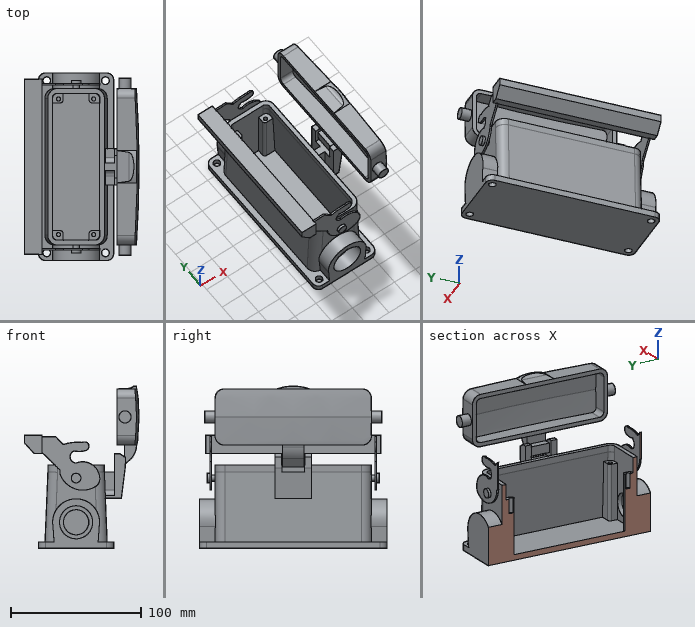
import cadquery as cq
import math

BASE_WIDTH = 57.8
LENGTH = 144.0
BASE_THICKNESS = 5.0
BASE_CORNER = 5.5
MOUNT_HOLE = 5.7
MOUNT_PITCH_X = 45.0
MOUNT_PITCH_Y = 132.0

HOOD_LENGTH = 120.0
HOOD_BOTTOM_WIDTH = 47.8
HOOD_TOP_WIDTH = 43.4
HOOD_CORNER = 7.5
HOOD_TOP = 64.1
RIM_START = 58.7
WALL = 3.7
FLOOR_TOP = 5.0

POST_TOP = 51.5
POST_INNER_X = 10.0
POST_INNER_Y = 49.0
POST_CORNER = 2.2
POST_HOLE = 3.1
POST_HOLE_DEPTH = 12.0
POST_HOLE_X = 13.5
POST_HOLE_Y = 52.0

ENTRY_RADIUS = 18.0
ENTRY_HEIGHT = 20.1
ENTRY_FOOT_HALF = 16.9
ENTRY_FLANK_DROP = 3.2
ENTRY_BORE = 25.4
ENTRY_INNER_BORE = 19.3
ENTRY_BORE_DEPTH = 12.0

PIVOT_HEIGHT = 54.0
PIVOT_PIN = 5.0
PIVOT_HEAD = 7.4
PIVOT_HEAD_END = 66.1
LEVER_INNER_Y = 62.6
LEVER_THICKNESS = 1.4
BAR_LENGTH = 134.2
BAR_LEFT = -39.65
BAR_RIGHT = -26.0
BAR_TOP = 86.9
BAR_NOSE_BOTTOM = 80.9
BAR_BOTTOM = 72.7
BAR_BOTTOM_LEFT = -32.1

ARM_TOP = 85.8
ARM_TOP_END = -15.7
ARM_BOTTOM = 73.4
ARM_STEP_HEIGHT = 60.3
FINGER_ROOT = (-9.8, 79.8)
FINGER_BACK = (-2.5, 81.4)
FINGER_TOP = (4.8, 81.4)
FINGER_TIP = (9.9, 77.9)
FINGER_UNDERSIDE = (7.2, 75.0)
FINGER_BELLY = (3.0, 74.3)
SLOT_TOP = (-1.6, 74.7)
SLOT_END = (-4.5, 70.0)
SLOT_BOTTOM = (0.0, 65.6)
CAM_CREST = (11.2, 65.0)
CAM_NOSE = (18.0, 55.0)
CAM_CHIN = (17.6, 50.6)
CAM_UNDERSIDE = (14.4, 47.2)
CAM_BELLY = (0.2, 45.4)
CAM_HEEL = (-12.5, 57.8)

BRACKET_HALF = 14.0
BRACKET_FACE = 29.4
BRACKET_BOTTOM = 38.5
BRACKET_TOP = 72.8
BRACKET_BACK = 37.7
BRACKET_BACK_BOTTOM = 34.8
BRACKET_BEND = 61.6
BRACKET_TOP_BACK = 33.5
BRACKET_SHOULDER = 70.0
FOOT_TOP = 40.8
RIB_HALF = 3.0
RIB_FILLET = 4.0
SLOT_HALF = 8.8

LID_FRONT = 31.2
LID_BACK = 48.32
LID_BOTTOM = 79.3
LID_TOP = 122.4
LID_CORNER = 7.2
LID_WALL = 3.4
LID_SKIN = 3.0
DOME_SAG_Y = 2.0
DOME_SAG_Z = 1.5
LID_PIN = 9.3
LID_PIN_X = 37.5
LID_PIN_END = 68.0

GRIP_HALF = 12.4
GRIP_TOP = 124.56
GRIP_BACK = 46.5
GRIP_RAMP_START = 40.5
GRIP_RAMP_END = 44.3
GRIP_RAMP_MIDDLE = (42.8, 123.5)
GRIP_PAD_RISE = 0.45

TAB_HALF = 8.3
TAB_FACE = 37.0
TAB_TIP = 31.2
TAB_BAR_TOP = 70.3
TAB_BAR_BOTTOM = 62.5
TAB_BACK = 46.4
TAB_BEND = (42.4, 69.0)
TAB_BELLY = (44.8, 72.5)
TAB_ROUND_TOP = 78.0
TAB_HEEL = 35.2

HOOD_HALF = HOOD_LENGTH / 2
LID_MIDDLE = (LID_BOTTOM + LID_TOP) / 2
LID_HEIGHT = LID_TOP - LID_BOTTOM


def extrude_along_y(outline, start, end):
    """Extrude an outline of the XZ plane from one Y to a larger one."""
    return outline.extrude(start - end).translate((0, start, 0))


def drafted_block(inset, bottom):
    """Rounded hood block, drafted in X up to the rim, drawn in all round by the inset."""
    half_length = HOOD_HALF - inset
    half_top = HOOD_TOP_WIDTH / 2 - inset
    half_bottom = HOOD_BOTTOM_WIDTH / 2 - inset
    outline = (
        cq.Workplane("XZ")
        .moveTo(-half_bottom, bottom)
        .lineTo(-half_top, RIM_START)
        .lineTo(-half_top, HOOD_TOP)
        .lineTo(half_top, HOOD_TOP)
        .lineTo(half_top, RIM_START)
        .lineTo(half_bottom, bottom)
        .close()
    )
    block = extrude_along_y(outline, -half_length, half_length)
    return block.edges("not(|Y or |X)").fillet(HOOD_CORNER - inset)


def make_base_plate():
    return (
        cq.Workplane("XY")
        .rect(BASE_WIDTH, LENGTH)
        .extrude(BASE_THICKNESS)
        .edges("|Z")
        .fillet(BASE_CORNER)
        .faces(">Z")
        .workplane()
        .rect(MOUNT_PITCH_X, MOUNT_PITCH_Y, forConstruction=True)
        .vertices()
        .hole(MOUNT_HOLE)
    )


def make_entry_bosses():
    """Round cable entries on both ends, narrowing to a foot on the base plate."""
    flank_z = ENTRY_HEIGHT - ENTRY_FLANK_DROP
    flank_x = math.sqrt(ENTRY_RADIUS**2 - ENTRY_FLANK_DROP**2)
    outline = (
        cq.Workplane("XZ")
        .moveTo(-ENTRY_FOOT_HALF, 0)
        .lineTo(-ENTRY_FOOT_HALF, BASE_THICKNESS)
        .lineTo(-flank_x, flank_z)
        .threePointArc((0, ENTRY_HEIGHT + ENTRY_RADIUS), (flank_x, flank_z))
        .lineTo(ENTRY_FOOT_HALF, BASE_THICKNESS)
        .lineTo(ENTRY_FOOT_HALF, 0)
        .close()
    )
    return extrude_along_y(outline, -LENGTH / 2, LENGTH / 2)


def make_entry_bore():
    """Stepped bore of the open cable entry on the -Y end."""
    bore = cq.Workplane("XZ").center(0, ENTRY_HEIGHT).circle(ENTRY_BORE / 2)
    inner = cq.Workplane("XZ").center(0, ENTRY_HEIGHT).circle(ENTRY_INNER_BORE / 2)
    shoulder = -LENGTH / 2 + ENTRY_BORE_DEPTH
    wide = extrude_along_y(bore, -LENGTH / 2, shoulder)
    narrow = extrude_along_y(inner, shoulder, -HOOD_HALF + 2 * WALL)
    return wide.union(narrow)


def make_posts(cavity):
    """Screw posts filling the four cavity corners."""
    size_x = HOOD_BOTTOM_WIDTH / 2 - POST_INNER_X
    size_y = HOOD_HALF - POST_INNER_Y
    posts = cq.Workplane("XY")
    for side_x in (-1, 1):
        for side_y in (-1, 1):
            post = (
                cq.Workplane("XY", origin=(0, 0, FLOOR_TOP))
                .center(side_x * (POST_INNER_X + size_x / 2), side_y * (POST_INNER_Y + size_y / 2))
                .rect(size_x, size_y)
                .extrude(POST_TOP - FLOOR_TOP)
                .edges("|Z")
                .fillet(POST_CORNER)
            )
            hole = (
                cq.Workplane("XY", origin=(0, 0, POST_TOP - POST_HOLE_DEPTH))
                .center(side_x * POST_HOLE_X, side_y * POST_HOLE_Y)
                .circle(POST_HOLE / 2)
                .extrude(POST_HOLE_DEPTH)
            )
            posts = posts.add(post.intersect(cavity).cut(hole))
    return posts.vals()


def make_bracket():
    """Hinge bracket: slotted upright on a foot, stiffened by a filleted middle rib."""
    root = HOOD_TOP_WIDTH / 2 - WALL / 2
    upright = (
        cq.Workplane("XZ")
        .moveTo(BRACKET_FACE, BRACKET_BOTTOM)
        .lineTo(BRACKET_FACE, BRACKET_TOP)
        .lineTo(BRACKET_TOP_BACK, BRACKET_TOP)
        .lineTo(BRACKET_BACK, BRACKET_SHOULDER)
        .lineTo(BRACKET_BACK, BRACKET_BEND)
        .lineTo(BRACKET_BACK_BOTTOM, BRACKET_BOTTOM)
        .close()
    )
    bracket = extrude_along_y(upright, -BRACKET_HALF, BRACKET_HALF)
    slot = (
        cq.Workplane("XY", origin=(0, 0, RIM_START))
        .center(BRACKET_FACE, 0)
        .rect(BRACKET_HALF * 2, SLOT_HALF * 2)
        .extrude(BRACKET_TOP - RIM_START)
    )
    rib_foot = RIB_HALF + RIB_FILLET
    dip = RIB_FILLET * (1 - math.sqrt(0.5))
    foot_and_rib = (
        cq.Workplane("YZ", origin=(root, 0, 0))
        .moveTo(-BRACKET_HALF, BRACKET_BOTTOM)
        .lineTo(BRACKET_HALF, BRACKET_BOTTOM)
        .lineTo(BRACKET_HALF, FOOT_TOP)
        .lineTo(rib_foot, FOOT_TOP)
        .threePointArc((RIB_HALF + dip, FOOT_TOP + dip), (RIB_HALF, FOOT_TOP + RIB_FILLET))
        .lineTo(RIB_HALF, RIM_START)
        .lineTo(-RIB_HALF, RIM_START)
        .lineTo(-RIB_HALF, FOOT_TOP + RIB_FILLET)
        .threePointArc((-RIB_HALF - dip, FOOT_TOP + dip), (-rib_foot, FOOT_TOP))
        .lineTo(-BRACKET_HALF, FOOT_TOP)
        .close()
        .extrude(BRACKET_FACE - root)
    )
    return bracket.cut(slot).union(foot_and_rib)


def lever_plate_outline():
    """Lever cheek: arm to the bar, hook finger, locking slot and round cam end."""
    return (
        cq.Workplane("XZ")
        .moveTo(BAR_RIGHT, ARM_TOP)
        .lineTo(ARM_TOP_END, ARM_TOP)
        .lineTo(*FINGER_ROOT)
        .threePointArc(FINGER_BACK, FINGER_TOP)
        .threePointArc(FINGER_TIP, FINGER_UNDERSIDE)
        .threePointArc(FINGER_BELLY, SLOT_TOP)
        .threePointArc(SLOT_END, SLOT_BOTTOM)
        .threePointArc(CAM_CREST, CAM_NOSE)
        .threePointArc(CAM_CHIN, CAM_UNDERSIDE)
        .threePointArc(CAM_BELLY, CAM_HEEL)
        .lineTo(CAM_HEEL[0], ARM_STEP_HEIGHT)
        .lineTo(BAR_RIGHT, ARM_BOTTOM)
        .close()
    )


def make_lever_cheek(side):
    """One lever cheek with its headed pivot pin, on the -Y or +Y side."""
    plate = extrude_along_y(lever_plate_outline(), LEVER_INNER_Y, LEVER_INNER_Y + LEVER_THICKNESS)
    pivot = cq.Workplane("XZ").center(0, PIVOT_HEIGHT)
    pin = extrude_along_y(pivot.circle(PIVOT_PIN / 2), HOOD_HALF - WALL / 2, LEVER_INNER_Y)
    head = extrude_along_y(pivot.circle(PIVOT_HEAD / 2), LEVER_INNER_Y, PIVOT_HEAD_END)
    cheek = plate.union(pin).union(head)
    return cheek if side > 0 else cheek.mirror("XZ")


def make_lever_bar():
    outline = (
        cq.Workplane("XZ")
        .moveTo(BAR_LEFT, BAR_TOP)
        .lineTo(BAR_RIGHT, BAR_TOP)
        .lineTo(BAR_RIGHT, BAR_BOTTOM)
        .lineTo(BAR_BOTTOM_LEFT, BAR_BOTTOM)
        .lineTo(BAR_LEFT, BAR_NOSE_BOTTOM)
        .close()
    )
    return extrude_along_y(outline, -BAR_LENGTH / 2, BAR_LENGTH / 2)


def make_housing():
    cavity = drafted_block(WALL, FLOOR_TOP)
    housing = make_base_plate().union(drafted_block(0, BASE_THICKNESS))
    housing = housing.union(make_entry_bosses()).union(make_bracket())
    housing = housing.cut(cavity).cut(make_entry_bore())
    for post in make_posts(cavity):
        housing = housing.union(cq.Workplane(post))
    for side in (-1, 1):
        housing = housing.union(make_lever_cheek(side))
    return housing.union(make_lever_bar())


def rounded_slab(inset):
    """Rounded lid block, drawn in all round by the inset, as deep as the domed back."""
    return (
        cq.Workplane("YZ", origin=(LID_FRONT, 0, LID_MIDDLE))
        .rect(HOOD_LENGTH - 2 * inset, LID_HEIGHT - 2 * inset)
        .extrude(LID_BACK - LID_FRONT)
        .edges("|X")
        .fillet(LID_CORNER - inset)
    )


def dome_envelope(apex):
    """Body of revolution whose far side is the lid's back, curved along Y and in height."""
    half = LID_HEIGHT / 2
    swing = (HOOD_HALF**2 + DOME_SAG_Y**2) / (2 * DOME_SAG_Y)
    quarter_sag = DOME_SAG_Z / 4
    return (
        cq.Workplane("XZ", origin=(0, 0, LID_MIDDLE))
        .moveTo(apex - swing, -half)
        .lineTo(apex - DOME_SAG_Z, -half)
        .threePointArc((apex - quarter_sag, -half / 2), (apex, 0))
        .threePointArc((apex - quarter_sag, half / 2), (apex - DOME_SAG_Z, half))
        .lineTo(apex - swing, half)
        .close()
        .revolve(360, (apex - swing, 0, 0), (apex - swing, 1, 0))
    )


def make_lid_shell():
    outside = rounded_slab(0).intersect(dome_envelope(LID_BACK))
    inside = rounded_slab(LID_WALL).intersect(dome_envelope(LID_BACK - LID_SKIN))
    return outside.cut(inside)


def make_grip():
    """Arched thumb grip on top of the lid: a slightly rising pad, then a hollow ramp."""
    root = LID_TOP - LID_WALL / 2
    pad_end = LID_TOP + GRIP_PAD_RISE
    arch = (
        cq.Workplane("YZ", origin=(LID_FRONT, 0, 0))
        .moveTo(-GRIP_HALF, root)
        .lineTo(-GRIP_HALF, LID_TOP)
        .threePointArc((0, GRIP_TOP), (GRIP_HALF, LID_TOP))
        .lineTo(GRIP_HALF, root)
        .close()
        .extrude(GRIP_BACK - LID_FRONT)
    )
    side = (
        cq.Workplane("XZ")
        .moveTo(LID_FRONT, root)
        .lineTo(LID_FRONT, LID_TOP)
        .lineTo(GRIP_RAMP_START, pad_end)
        .threePointArc(GRIP_RAMP_MIDDLE, (GRIP_RAMP_END, GRIP_TOP))
        .lineTo(GRIP_BACK, GRIP_TOP)
        .lineTo(GRIP_BACK, root)
        .close()
    )
    return arch.intersect(extrude_along_y(side, -GRIP_HALF, GRIP_HALF))


def make_hinge_tab():
    """Tab below the lid whose bar reaches into the bracket slot."""
    outline = (
        cq.Workplane("XZ")
        .moveTo(TAB_FACE, LID_BOTTOM + LID_WALL / 2)
        .lineTo(TAB_FACE, TAB_BAR_TOP)
        .lineTo(TAB_TIP, TAB_BAR_TOP)
        .lineTo(TAB_TIP, TAB_BAR_BOTTOM)
        .lineTo(TAB_HEEL, TAB_BAR_BOTTOM)
        .lineTo(*TAB_BEND)
        .threePointArc(TAB_BELLY, (TAB_BACK, TAB_ROUND_TOP))
        .lineTo(TAB_BACK, LID_BOTTOM + LID_WALL / 2)
        .close()
    )
    return extrude_along_y(outline, -TAB_HALF, TAB_HALF)


def make_lid_pin(side):
    outline = cq.Workplane("XZ").center(LID_PIN_X, LID_MIDDLE).circle(LID_PIN / 2)
    pin = extrude_along_y(outline, HOOD_HALF - LID_WALL / 2, LID_PIN_END)
    return pin if side > 0 else pin.mirror("XZ")


def make_lid():
    lid = make_lid_shell().union(make_grip()).union(make_hinge_tab())
    for side in (-1, 1):
        lid = lid.union(make_lid_pin(side))
    return lid


housing = make_housing()
lid = make_lid()

result = cq.Compound.makeCompound([housing.val(), lid.val()])